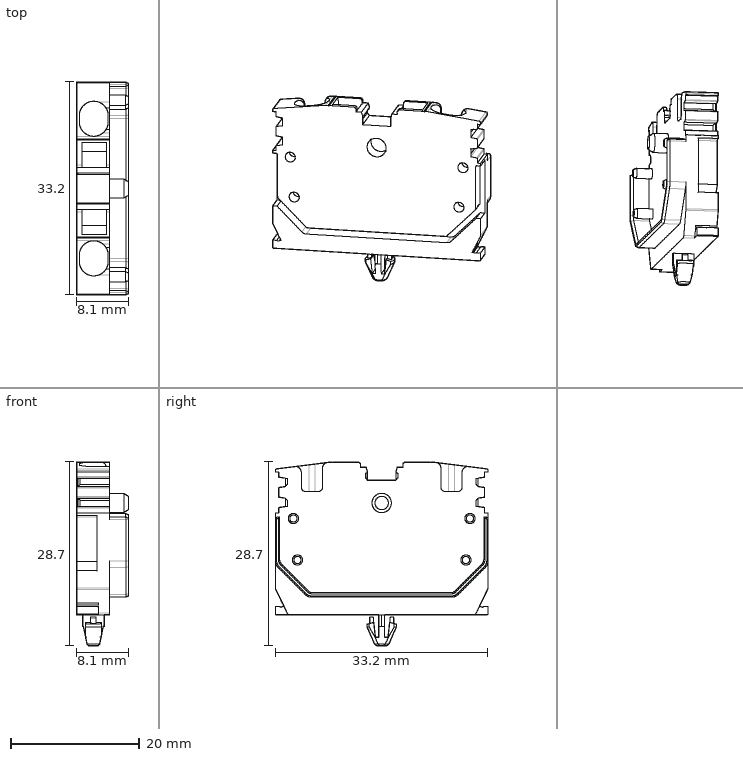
import cadquery as cq
import math

half_length = 16.6
body_thickness = 5.15
total_thickness = 8.1
body_height = 23.85
clip_height = 4.85

cutter_overrun = 0.33
selection_margin = 0.03

slope_start = 8.15
end_lip_top = 22.78
end_lip_bottom = 22.28
tower_inner = 3.3
tower_step_height = 23.07
marker_slot_half = 2.22
marker_slot_lead_in = 0.2
marker_slot_lead_in_height = 22.4
marker_slot_floor = 21.05
marker_undercut_top = 22.25
marker_undercut_depth = 0.33
marker_undercut_slant = 0.2
lip_round = 0.25
tower_round = 0.4
score_y = 7.65
score_half_width = 0.1
score_depth = 0.05

shoulder_height = 15.95
fin_tip = 16.07
groove_bottom = 15.05
groove_floor_half = 0.63
groove_mouth_half = 0.8
groove_heights = (17.55, 20.7)
groove_rim = 0.2
groove_undercut = 0.33
fin_round = 0.1

foot_thickness = 3.4
foot_height = 1.33
foot_slope_top = 4.1
foot_slope_base = 14.6
foot_slope_round = 0.5
foot_slope_top_round = 0.5
foot_inner = 13.28
foot_chamfer = 0.13
hook_radius = 0.33
hook_y = 15.7
hook_z = 1.55

channel_depth = 3.2
channel_inner_y = 15.8
channel_top = 15.5
channel_top_round = 0.25
channel_bottom_round = 1.0
channel_inner_bottom = 3.7
channel_inner_diagonal = 7.47
channel_outer_top = 6.9
channel_outer_bottom = 2.65
channel_outer_diagonal = 8.95

rim_inner_y = 15.95
rim_top = 15.27
rim_tip_radius = 0.4
rim_bottom = 2.75
rim_floor = 3.5
rim_outer_diagonal = 8.75
rim_inner_diagonal = 7.7
rim_corner_radius = 1.45
rim_inner_wall_radius = 1.23
rim_inner_floor_radius = 0.6
rim_bevel_length = 0.43
rim_bevel_inset = 0.2

main_peg_height = 17.45
main_peg_diameter = 3.02
main_peg_bevel_length = 0.75
main_peg_bevel_inset = 0.45
small_peg_places = ((13.78, 15.05), (13.15, 8.55))
small_peg_diameter = 1.6
small_peg_bevel_length = 0.5
small_peg_bevel_inset = 0.23
socket_depth = total_thickness - body_thickness

well_x = 2.65
well_y = 10.9
well_width = 4.5
well_length = 5.48
well_floor = 18.92
well_gap_floor = 19.25
well_gap_floor_round = 0.65
well_gap_half = 1.65
well_gap_round = 0.93

pocket_x_min = 0.8
pocket_x_max = 4.6
pocket_outer_top = 7.17
pocket_outer_bottom = 5.78
pocket_floor = 13.28
pocket_floor_rise = 0.33

clip_x = 2.6
stem_half_thickness = 0.45
stem_half_width = 1.63
stem_ridge = 0.1
stem_ridge_height = 1.8
stem_taper_start = 1.53
stem_tip_half_width = 1.0
stem_tip_chamfer = 0.25
arm_half_width = 1.25
arm_tip_radius = 2.32
arm_shoulder_depth = 1.45
arm_cone_top_depth = 1.85
arm_cone_end_depth = 4.58
arm_cone_end_radius = 1.13
clip_end_radius = 0.75
arm_inner_top = 1.23
arm_inner_bottom = 0.95
arm_inner_depth = 1.15
arm_gap_depth = 3.5
prong_inner = 1.25
prong_outer = 1.9
prong_half_width = 0.43
prong_top_depth = 0.3
prong_root_depth = 1.8
prong_round = 0.23


def prism(points, x_start, length):
    """Extrude a closed (y, z) outline along +X."""
    return cq.Workplane("YZ", origin=(x_start, 0, 0)).polyline(points).close().extrude(length)


def edge_along_x(y, z, x_middle):
    return cq.selectors.NearestToPointSelector((x_middle, y, z))


def both_sides(half):
    return half.union(half.mirror("XZ"))


def housing_half():
    points = [
        (0, 0),
        (foot_slope_base, 0),
        (half_length, foot_slope_top),
        (half_length, shoulder_height),
        (fin_tip, shoulder_height),
        (fin_tip, end_lip_bottom),
        (half_length, end_lip_bottom),
        (half_length, end_lip_top),
        (slope_start, body_height),
        (tower_inner, body_height),
        (tower_inner, tower_step_height),
        (marker_slot_half + marker_slot_lead_in, tower_step_height),
        (marker_slot_half, marker_slot_lead_in_height),
        (marker_slot_half, marker_slot_floor),
        (0, marker_slot_floor),
    ]
    half = prism(points, 0, body_thickness)
    rounded_corners = (
        (half_length, end_lip_top, lip_round),
        (tower_inner, body_height, tower_round),
        (foot_slope_base, 0, foot_slope_round),
        (half_length, foot_slope_top, foot_slope_top_round),
    )
    for y, z, radius in rounded_corners:
        half = half.edges(edge_along_x(y, z, body_thickness / 2)).fillet(radius)
    return half


def separating_score():
    """Shallow V across the top between the wire well and the screwdriver pocket."""
    points = [
        (score_y - score_half_width, body_height),
        (score_y + score_half_width, body_height),
        (score_y, body_height - score_depth),
    ]
    return prism(points, 0, body_thickness)


def marker_undercut():
    """Catch groove in the wall of the centre slot, stopping behind a thin rim."""
    points = [
        (marker_slot_half, marker_undercut_top),
        (marker_slot_half + marker_undercut_depth, marker_undercut_top - marker_undercut_slant),
        (marker_slot_half + marker_undercut_depth, marker_slot_floor + 2 * marker_undercut_slant),
        (marker_slot_half, marker_slot_floor),
    ]
    return prism(points, groove_rim, body_thickness - groove_rim)


def grip_groove(center_height, undercut_side):
    """Groove across the end; behind a thin rim its floor is deeper and one flank slants at 45 degrees."""
    groove = prism(
        [
            (groove_bottom, center_height - groove_floor_half),
            (fin_tip, center_height - groove_mouth_half),
            (fin_tip, center_height + groove_mouth_half),
            (groove_bottom, center_height + groove_floor_half),
        ],
        0,
        body_thickness,
    )
    straight = center_height - undercut_side * groove_floor_half
    slanted = center_height + undercut_side * groove_floor_half
    undercut = prism(
        [
            (groove_bottom, straight),
            (groove_bottom, slanted),
            (groove_bottom - groove_undercut, slanted - undercut_side * groove_undercut),
            (groove_bottom - groove_undercut, straight),
        ],
        groove_rim,
        body_thickness - groove_rim,
    )
    rim_slant = (
        cq.Workplane("XY", origin=(0, 0, center_height - groove_mouth_half))
        .moveTo(groove_rim, groove_bottom)
        .lineTo(groove_rim + groove_undercut, groove_bottom - groove_undercut)
        .lineTo(groove_rim, groove_bottom - groove_undercut)
        .close()
        .extrude(2 * groove_mouth_half)
    )
    return groove.union(undercut.cut(rim_slant))


def foot():
    block = prism(
        [(foot_inner, 0), (half_length, 0), (half_length, foot_height), (foot_inner, foot_height)],
        0,
        foot_thickness,
    )
    return block.edges("|X and >Y and <Z").chamfer(foot_chamfer)


def hook_recess():
    return cq.Workplane("YZ").center(hook_y, hook_z).circle(hook_radius).extrude(foot_thickness)


def channel():
    outside = half_length + cutter_overrun
    points = [
        (0, channel_inner_bottom),
        (channel_inner_bottom + channel_inner_diagonal, channel_inner_bottom),
        (channel_inner_y, channel_inner_y - channel_inner_diagonal),
        (channel_inner_y, channel_top),
        (outside, channel_top),
        (outside, channel_outer_top),
        (channel_outer_top + channel_outer_diagonal, channel_outer_top),
        (channel_outer_bottom + channel_outer_diagonal, channel_outer_bottom),
        (0, channel_outer_bottom),
    ]
    top_corner = edge_along_x(channel_inner_y, channel_top, channel_depth / 2)
    low_corner = edge_along_x(
        channel_outer_bottom + channel_outer_diagonal, channel_outer_bottom, channel_depth / 2
    )
    body = prism(points, 0, channel_depth)
    return body.edges(top_corner).fillet(channel_top_round).edges(low_corner).fillet(channel_bottom_round)


def tapered_peg(y, z, diameter, bevel_length, bevel_inset):
    radius = diameter / 2
    straight = total_thickness - body_thickness - bevel_length
    peg = cq.Workplane("YZ", origin=(body_thickness, y, z)).circle(radius).extrude(straight)
    taper = math.degrees(math.atan(bevel_inset / bevel_length))
    return peg.faces(">X").workplane().circle(radius).extrude(bevel_length, taper=taper)


def socket(y, z, diameter):
    return cq.Workplane("YZ", origin=(0, y, z)).circle(diameter / 2).extrude(socket_depth)


def rim():
    """U-shaped rim with 45 degree corners, rounded tips and a bevelled free edge."""
    upper = [
        (rim_inner_y, rim_top),
        (rim_inner_y, rim_inner_y - rim_inner_diagonal),
        (rim_floor + rim_inner_diagonal, rim_floor),
    ]
    lower = [
        (rim_bottom + rim_outer_diagonal, rim_bottom),
        (half_length, half_length - rim_outer_diagonal),
        (half_length, rim_top),
    ]
    mirrored_upper = [(-y, z) for y, z in reversed(upper)]
    mirrored_lower = [(-y, z) for y, z in reversed(lower)]
    depth = total_thickness - body_thickness - rim_bevel_length
    body = prism(upper + mirrored_upper + mirrored_lower + lower, body_thickness, depth)
    corners = (
        (upper[1], rim_inner_wall_radius),
        (upper[2], rim_inner_floor_radius),
        (lower[0], rim_corner_radius),
        (lower[1], rim_corner_radius),
        (lower[2], rim_tip_radius),
    )
    for (y, z), radius in corners:
        for side in (1, -1):
            corner = edge_along_x(side * y, z, body_thickness + depth / 2)
            body = body.edges(corner).fillet(radius)
    taper = math.degrees(math.atan(rim_bevel_inset / rim_bevel_length))
    free_edge = body.faces(">X").wires().toPending().workplane()
    bevel = free_edge.extrude(rim_bevel_length, taper=taper, combine=False)
    return body.union(bevel)


def wire_well():
    """Vertical well, open on the +X face through a gap with rounded top corners."""
    top = body_height + cutter_overrun
    well = (
        cq.Workplane("XY", origin=(well_x, well_y, well_floor))
        .slot2D(well_length, well_width, 90)
        .extrude(top - well_floor)
    )
    mouth_half = well_gap_half + well_gap_round
    crown_far = body_height - (well_y + mouth_half - slope_start) * (
        (body_height - end_lip_top) / (half_length - slope_start)
    )
    diagonal = well_gap_round * (1 - math.sqrt(0.5))
    gap = (
        cq.Workplane("YZ", origin=(well_x, well_y, 0))
        .moveTo(-well_gap_half, well_gap_floor)
        .lineTo(well_gap_half, well_gap_floor)
        .lineTo(well_gap_half, crown_far - well_gap_round)
        .threePointArc((well_gap_half + diagonal, crown_far - diagonal), (mouth_half, crown_far))
        .lineTo(mouth_half, top)
        .lineTo(-mouth_half, top)
        .lineTo(-mouth_half, body_height)
        .threePointArc(
            (-well_gap_half - diagonal, body_height - diagonal),
            (-well_gap_half, body_height - well_gap_round),
        )
        .close()
        .extrude(body_thickness - well_x)
        .edges("|X and <Z")
        .fillet(well_gap_floor_round)
    )
    return well.union(gap)


def screwdriver_pocket():
    points = [
        (tower_inner, body_height),
        (pocket_outer_top, body_height),
        (pocket_outer_bottom, pocket_floor),
        (tower_inner, pocket_floor + pocket_floor_rise),
    ]
    return prism(points, pocket_x_min, pocket_x_max - pocket_x_min)


def clip_taper(half_thickness):
    """Blade with the tapered outline of the clip across X."""
    profile = [
        (-stem_half_width, 0),
        (stem_half_width, 0),
        (stem_half_width, -stem_taper_start),
        (stem_tip_half_width, stem_tip_chamfer - clip_height),
        (stem_tip_half_width - stem_tip_chamfer, -clip_height),
        (stem_tip_chamfer - stem_tip_half_width, -clip_height),
        (-stem_tip_half_width, stem_tip_chamfer - clip_height),
        (-stem_half_width, -stem_taper_start),
    ]
    plane = cq.Workplane("XZ", origin=(clip_x, 0, 0))
    return plane.polyline(profile).close().extrude(half_thickness, both=True)


def clip_cone():
    return (
        cq.Workplane("XZ", origin=(clip_x, 0, 0))
        .polyline([
            (0, 0),
            (arm_tip_radius, 0),
            (arm_tip_radius, -arm_cone_top_depth),
            (arm_cone_end_radius, -arm_cone_end_depth),
            (clip_end_radius, -clip_height),
            (0, -clip_height),
        ])
        .close()
        .revolve(360, (0, 0, 0), (0, 1, 0))
    )


def clip_stem():
    blade = clip_taper(stem_half_thickness).intersect(clip_cone())
    ridge_x = stem_half_width + stem_ridge
    ridges = (
        cq.Workplane("XY", origin=(clip_x, 0, 0))
        .polyline([
            (-ridge_x, 0),
            (-stem_half_width, -stem_half_thickness),
            (stem_half_width, -stem_half_thickness),
            (ridge_x, 0),
            (stem_half_width, stem_half_thickness),
            (-stem_half_width, stem_half_thickness),
        ])
        .close()
        .extrude(-stem_ridge_height)
    )
    return blade.union(ridges)


def clip_arm():
    """Springy arm on the +Y side, its outer face part of a cone about the clip axis."""
    arm = prism(
        [
            (0, -clip_height),
            (arm_tip_radius, -clip_height),
            (arm_tip_radius, -arm_shoulder_depth),
            (arm_inner_top, -arm_inner_depth),
            (arm_inner_bottom, -arm_gap_depth),
            (0, -arm_gap_depth),
        ],
        clip_x - arm_half_width,
        2 * arm_half_width,
    )
    prong = (
        cq.Workplane("XY", origin=(clip_x, (prong_inner + prong_outer) / 2, -prong_top_depth))
        .rect(2 * prong_half_width, prong_outer - prong_inner)
        .extrude(prong_top_depth - prong_root_depth)
        .edges("|X and >Z")
        .fillet(prong_round)
    )
    return arm.intersect(clip_taper(arm_tip_radius)).intersect(clip_cone()).union(prong)


half = housing_half().union(foot()).cut(hook_recess()).cut(channel())
for height, undercut_side in zip(groove_heights, (1, -1)):
    half = half.cut(grip_groove(height, undercut_side))
fin_tips = cq.selectors.BoxSelector(
    (0, fin_tip - selection_margin, groove_heights[0] - groove_mouth_half - selection_margin),
    (body_thickness, fin_tip + selection_margin, groove_heights[1] + groove_mouth_half + selection_margin),
)
half = half.edges("|X").edges(fin_tips).fillet(fin_round)
half = half.cut(separating_score()).cut(marker_undercut())
half = half.cut(wire_well()).cut(screwdriver_pocket())
for y, z in small_peg_places:
    half = half.cut(socket(y, z, small_peg_diameter))
    half = half.union(tapered_peg(y, z, small_peg_diameter, small_peg_bevel_length, small_peg_bevel_inset))
half = half.union(clip_arm())

result = (
    both_sides(half)
    .union(rim())
    .union(clip_stem())
    .cut(socket(0, main_peg_height, main_peg_diameter))
    .union(tapered_peg(0, main_peg_height, main_peg_diameter, main_peg_bevel_length, main_peg_bevel_inset))
)